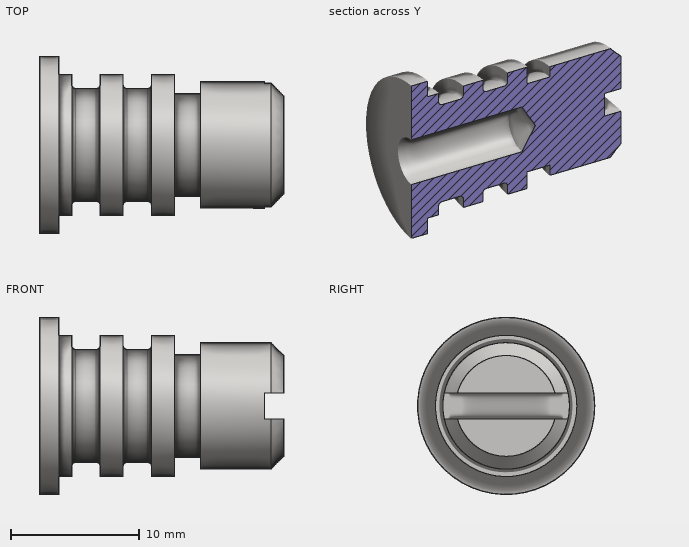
import cadquery as cq
import math

total_length = 19.0

flange_diameter = 13.8
flange_thickness = 1.5
rib_diameter = 11.0
shoulder_end = 2.5
groove_diameter = 8.8
groove_width = 2.2
groove_pitch = 4.0
groove_count = 2
groove_fillet = 0.3
shank_end = 10.5

neck_diameter = 8.0
head_start = 12.5
head_diameter = 9.85
head_chamfer = 1.0
slot_width = 2.0
slot_depth = 1.5

hole_diameter = 4.0
hole_depth = 10.0
drill_point_angle = 118.0


def cylinder(diameter, start, end):
    """Solid cylinder on the X axis between two X positions."""
    return cq.Workplane("YZ", origin=(start, 0, 0)).circle(diameter / 2).extrude(end - start)


def make_groove(start):
    """Ring cutter for a groove with rounded bottom corners."""
    end = start + groove_width
    outer_radius = rib_diameter / 2
    floor_radius = groove_diameter / 2
    wall_foot = floor_radius + groove_fillet
    bulge = groove_fillet * (1 - math.sqrt(0.5))
    profile = (
        cq.Workplane("XY")
        .moveTo(start, outer_radius)
        .lineTo(start, wall_foot)
        .threePointArc((start + bulge, floor_radius + bulge), (start + groove_fillet, floor_radius))
        .lineTo(end - groove_fillet, floor_radius)
        .threePointArc((end - bulge, floor_radius + bulge), (end, wall_foot))
        .lineTo(end, outer_radius)
        .close()
    )
    return profile.revolve(360, (0, 0, 0), (1, 0, 0))


def make_shank():
    """Flange followed by the ribs left standing beside the grooves."""
    shank = cylinder(rib_diameter, 0, shank_end)
    for index in range(groove_count):
        shank = shank.cut(make_groove(shoulder_end + index * groove_pitch))
    return shank.union(cylinder(flange_diameter, 0, flange_thickness))


def make_head():
    """Chamfered head with a screwdriver slot running along Y."""
    head = cylinder(head_diameter, head_start, total_length).faces(">X").chamfer(head_chamfer)
    slot = cq.Workplane("XY").box(2 * slot_depth, 2 * head_diameter, slot_width)
    return head.cut(slot.translate((total_length, 0, 0)))


def make_hole():
    """Cutter for the drilled hole, with its conical point."""
    radius = hole_diameter / 2
    point_length = radius / math.tan(math.radians(drill_point_angle / 2))
    profile = (
        cq.Workplane("XY")
        .lineTo(0, radius)
        .lineTo(hole_depth, radius)
        .lineTo(hole_depth + point_length, 0)
        .close()
    )
    return profile.revolve(360, (0, 0, 0), (1, 0, 0))


neck = cylinder(neck_diameter, shank_end, head_start)
result = make_shank().union(neck).union(make_head()).cut(make_hole())